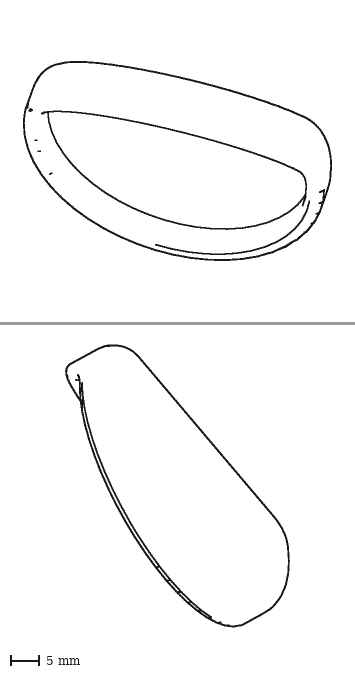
import cadquery as cq
import math

outer_radius = 27.5
cavity_radius = 24.25
thickness = 10.0
cavity_depth = 5.0
bend_angle = 30.0
front_corner_z = 4.4
bend_radius = 15.0
back_edge_radius = 5.0
rim_edge_radius = 1.0

profile_reach = 44.0
front_clearance = 33.0
back_y = thickness / 2
front_y = -thickness / 2
floor_y = front_y + cavity_depth


def bend_corner_z(rear_y):
    """Height of the bend on a parallel surface; all corners lie on the bisector of the bend."""
    return front_corner_z + (rear_y - front_y) * math.tan(math.radians(bend_angle / 2))


def bent_region(rear_y):
    """Everything in front of a surface that is bent sharply towards -Y."""
    corner_z = bend_corner_z(rear_y)
    lean = (profile_reach - corner_z) * math.tan(math.radians(bend_angle))
    far_y = front_y - front_clearance
    return (
        cq.Workplane("YZ")
        .moveTo(rear_y, -profile_reach)
        .lineTo(rear_y, corner_z)
        .lineTo(rear_y - lean, profile_reach)
        .lineTo(far_y, profile_reach)
        .lineTo(far_y, -profile_reach)
        .close()
        .extrude(profile_reach, both=True)
    )


def rounded_bent_region(rear_y):
    """A bent region whose bend along X is rounded."""
    bend_point = (0, rear_y, bend_corner_z(rear_y))
    bend = bent_region(rear_y).edges(cq.selectors.NearestToPointSelector(bend_point))
    return bend.fillet(bend_radius)


def cylinder(radius):
    """Cylinder along Y, long enough to pass through the whole part."""
    return cq.Workplane("XZ").circle(radius).extrude(profile_reach, both=True)


back_region = rounded_bent_region(back_y)
front_region = rounded_bent_region(front_y)
body = cylinder(outer_radius).intersect(back_region).cut(front_region)

arc_centroid = 2 / math.pi

back_point = (0, back_y, -arc_centroid * outer_radius)
body = body.edges(cq.selectors.NearestToPointSelector(back_point)).fillet(back_edge_radius)

body = body.cut(cylinder(cavity_radius).intersect(bent_region(floor_y)))

for radius in (cavity_radius, outer_radius):
    rim_point = (0, front_y, -arc_centroid * radius)
    body = body.edges(cq.selectors.NearestToPointSelector(rim_point)).fillet(rim_edge_radius)

result = body